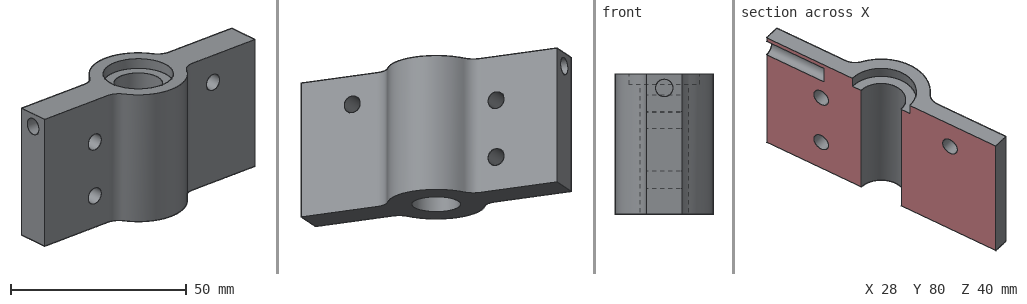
import cadquery as cq
import math

length = 80.0
height = 40.0
wing_thickness = 10.0
hub_diameter = 28.0
blend_radius = 5.0

bore_diameter = 13.9
seat_diameter = 20.0
seat_depth = 3.0

hole_diameter = 5.0
single_hole = (24.0, 31.5)
pair_y = -21.0
pair_heights = (9.9, 26.9)

end_hole_height = 36.0
end_hole_depth = 20.0


def make_body():
    """Hub and two wings, joined by tangent concave blends."""
    hub_radius = hub_diameter / 2
    half_wing = wing_thickness / 2
    half_length = length / 2
    center_distance = hub_radius + blend_radius
    blend_x = half_wing + blend_radius
    blend_y = math.sqrt(center_distance**2 - blend_x**2)
    tangent_x = blend_x * hub_radius / center_distance
    tangent_y = blend_y * hub_radius / center_distance

    mid_angle = (math.pi + math.atan2(blend_y, blend_x) + math.pi) / 2
    mid_x = blend_x + blend_radius * math.cos(mid_angle)
    mid_y = blend_y + blend_radius * math.sin(mid_angle)

    return (
        cq.Workplane("XY")
        .moveTo(half_wing, -half_length)
        .lineTo(half_wing, -blend_y)
        .threePointArc((mid_x, -mid_y), (tangent_x, -tangent_y))
        .threePointArc((hub_radius, 0), (tangent_x, tangent_y))
        .threePointArc((mid_x, mid_y), (half_wing, blend_y))
        .lineTo(half_wing, half_length)
        .lineTo(-half_wing, half_length)
        .lineTo(-half_wing, blend_y)
        .threePointArc((-mid_x, mid_y), (-tangent_x, tangent_y))
        .threePointArc((-hub_radius, 0), (-tangent_x, -tangent_y))
        .threePointArc((-mid_x, -mid_y), (-half_wing, -blend_y))
        .lineTo(-half_wing, -half_length)
        .close()
        .extrude(height)
    )


def make_hub_bore():
    """Through bore with a wider seat at the top."""
    bore = cq.Workplane("XY").circle(bore_diameter / 2).extrude(height)
    seat = (
        cq.Workplane("XY", origin=(0, 0, height))
        .circle(seat_diameter / 2)
        .extrude(-seat_depth)
    )
    return bore.union(seat)


def make_wing_holes():
    """Holes across the thickness of the wings."""
    places = [single_hole] + [(pair_y, z) for z in pair_heights]
    return (
        cq.Workplane("YZ")
        .pushPoints(places)
        .circle(hole_diameter / 2)
        .extrude(wing_thickness, both=True)
    )


def make_end_hole():
    """Blind hole running inward from the -Y end face."""
    return (
        cq.Workplane("XZ", origin=(0, -length / 2, end_hole_height))
        .circle(hole_diameter / 2)
        .extrude(-end_hole_depth)
    )


result = make_body().cut(make_hub_bore()).cut(make_wing_holes()).cut(make_end_hole())